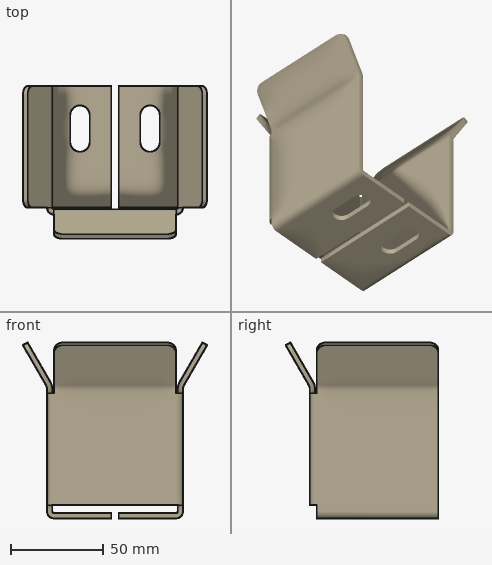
import cadquery as cq
import math

span_x = 100.2
height = 95.7

sheet = 3.0
corner_inner_radius = 0.8
corner_outer_radius = corner_inner_radius + sheet
lip_angle = math.radians(30.0)
lip_bend_inner_radius = 5.0
lip_bend_outer_radius = lip_bend_inner_radius + sheet
lip_corner_radius = 5.0

body_width = 73.9
side_length = 66.1
half_width = body_width / 2
front_width = body_width - 2 * corner_outer_radius
front_outer_y = -corner_outer_radius
front_bottom = 7.2
base_gap = 3.8

lip_reach = span_x / 2 - half_width
lip_length = (lip_reach - lip_bend_inner_radius * (1 - math.cos(lip_angle))) / math.sin(lip_angle)
lip_rise = lip_length * math.cos(lip_angle) + lip_bend_outer_radius * math.sin(lip_angle)
wall_top = height - lip_rise
relief_depth = 2.0
corner_top = wall_top - relief_depth

slot_width = 10.4
slot_length = 25.0
slot_x = 19.0
slot_from_back = 23.1


def flared_wall(width, bottom):
    """Wall with its outer face on X = 0 and its lip leaning to +X, from Y = 0 to Y = width."""
    def bend_point(radius, angle):
        return (lip_bend_inner_radius - radius * math.cos(angle), wall_top + radius * math.sin(angle))

    def tip_point(radius):
        x, z = bend_point(radius, lip_angle)
        return (x + lip_length * math.sin(lip_angle), z + lip_length * math.cos(lip_angle))

    wall = (
        cq.Workplane("XZ")
        .moveTo(0, bottom)
        .lineTo(0, wall_top)
        .threePointArc(
            bend_point(lip_bend_inner_radius, lip_angle / 2),
            bend_point(lip_bend_inner_radius, lip_angle),
        )
        .lineTo(*tip_point(lip_bend_inner_radius))
        .lineTo(*tip_point(lip_bend_outer_radius))
        .lineTo(*bend_point(lip_bend_outer_radius, lip_angle))
        .threePointArc(bend_point(lip_bend_outer_radius, lip_angle / 2), (-sheet, wall_top))
        .lineTo(-sheet, bottom)
        .close()
        .extrude(-width)
    )
    across_lip = cq.Vector(math.cos(lip_angle), 0, -math.sin(lip_angle))
    tip_corners = cq.selectors.ParallelDirSelector(across_lip)
    return wall.edges(tip_corners).edges(">Z").fillet(lip_corner_radius)


def quarter_bend(plane, length):
    """Quarter ring centred on the plane's origin, in its +x, -y quadrant."""
    diagonal = math.sqrt(0.5)
    return (
        cq.Workplane(plane)
        .moveTo(corner_outer_radius, 0)
        .threePointArc(
            (corner_outer_radius * diagonal, -corner_outer_radius * diagonal),
            (0, -corner_outer_radius),
        )
        .lineTo(0, -corner_inner_radius)
        .threePointArc(
            (corner_inner_radius * diagonal, -corner_inner_radius * diagonal),
            (corner_inner_radius, 0),
        )
        .close()
        .extrude(length)
    )


def base_plate():
    """Right-hand base plate with its slot, running along Y."""
    inner_x = base_gap / 2
    plate = cq.Workplane("XY").box(
        front_width / 2 - inner_x, side_length, sheet, centered=False
    ).translate((inner_x, 0, 0))
    slot = (
        cq.Workplane("XY")
        .center(slot_x, side_length - slot_from_back)
        .slot2D(slot_length, slot_width, 90)
        .extrude(sheet)
    )
    return plate.cut(slot)


def right_side():
    """Base plate, base bend, flared side wall and vertical corner bend on the +X side."""
    wall = flared_wall(side_length, corner_outer_radius).translate((half_width, 0, 0))
    base_bend = quarter_bend("XZ", -side_length).translate((front_width / 2, 0, corner_outer_radius))
    corner_bend = quarter_bend("XY", corner_top - front_bottom).translate((front_width / 2, 0, front_bottom))
    return base_plate().union(base_bend).union(wall).union(corner_bend)


front_wall = (
    flared_wall(front_width, front_bottom)
    .rotate((0, 0, 0), (0, 0, 1), -90)
    .translate((-front_width / 2, front_outer_y, 0))
)

right = right_side()
result = front_wall.union(right).union(right.mirror("YZ"))